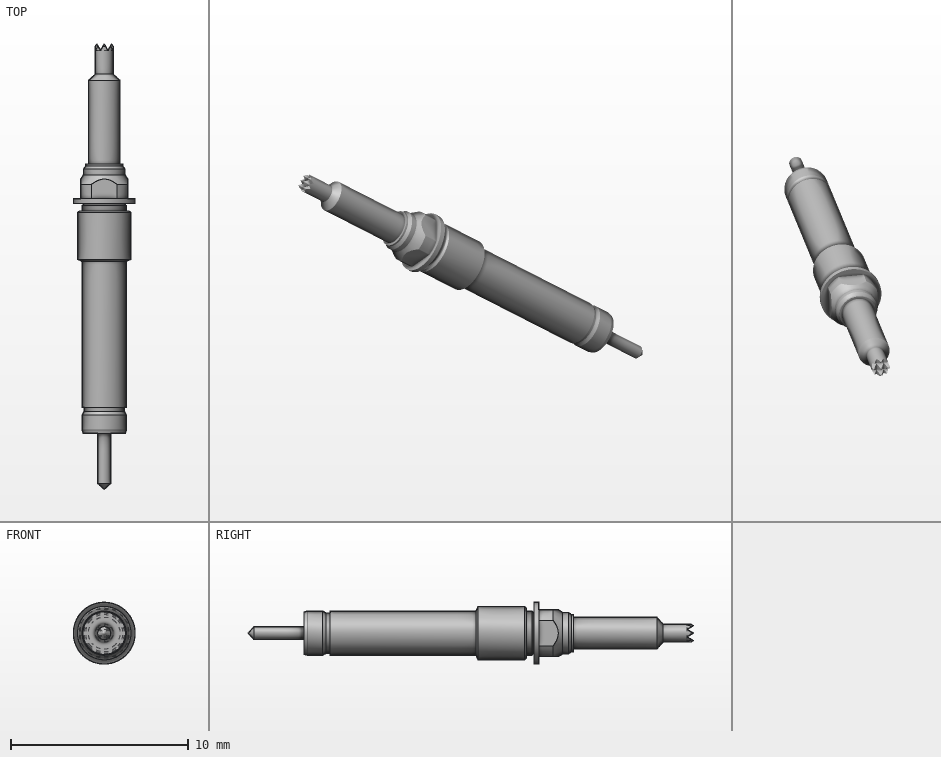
import cadquery as cq


NECK_DIA = 1.02
NECK_LENGTH = 1.71
SHAFT_DIA = 1.8
SHOULDER_LENGTH = 0.36
SHAFT_LENGTH = 4.7

TOOTH_PITCH = 0.42
TOOTH_DEPTH = 0.36
GROOVE_OFFSETS = (-1.5, -0.5, 0.5, 1.5)

LIP_DIA = 2.1
LIP_LENGTH = 0.12
LIP_CHAMFER_LENGTH = 0.18
NUT_TOP_DIA = 2.36
NUT_TOP_LENGTH = 0.32
NUT_CONE_LENGTH = 0.54
NUT_DIA = 3.03
NUT_ACROSS_FLATS = 2.66
NUT_LENGTH = 0.8
WASHER_DIA = 3.5
WASHER_THICKNESS = 0.28

TUBE_DIA = 2.5
TUBE_RIM_LENGTH = 0.42
TUBE_RIM_CHAMFER = 0.12
RING_DIA = 3.02
RING_LENGTH = 2.73
RING_CHAMFER = 0.1
RING_FOOT_LENGTH = 0.12
TUBE_LENGTH = 8.24
GROOVE_DIA = 2.28
GROOVE_FLOOR_LENGTH = 0.22
GROOVE_SLOPE_LENGTH = 0.2
END_LENGTH = 0.85
END_CHAMFER_LENGTH = 0.2
END_FACE_DIA = 2.4

OVERALL_LENGTH = 25.15
PIN_DIA = 0.74
PIN_POINT_LENGTH = 0.34

NUT_BOTTOM = WASHER_THICKNESS
NUT_CONE_BOTTOM = NUT_BOTTOM + NUT_LENGTH
NUT_CONE_TOP = NUT_CONE_BOTTOM + NUT_CONE_LENGTH
LIP_CHAMFER_BOTTOM = NUT_CONE_TOP + NUT_TOP_LENGTH
LIP_BOTTOM = LIP_CHAMFER_BOTTOM + LIP_CHAMFER_LENGTH
LIP_TOP = LIP_BOTTOM + LIP_LENGTH
SHOULDER_BOTTOM = LIP_TOP + SHAFT_LENGTH
SHOULDER_TOP = SHOULDER_BOTTOM + SHOULDER_LENGTH
CROWN_TOP = SHOULDER_TOP + NECK_LENGTH

RING_TOP = -TUBE_RIM_LENGTH
RING_BOTTOM = RING_TOP - RING_LENGTH
RING_FOOT = RING_BOTTOM - RING_FOOT_LENGTH
GROOVE_TOP = RING_FOOT - TUBE_LENGTH
GROOVE_SLOPE_TOP = GROOVE_TOP - GROOVE_FLOOR_LENGTH
GROOVE_BOTTOM = GROOVE_SLOPE_TOP - GROOVE_SLOPE_LENGTH
END_CHAMFER_TOP = GROOVE_BOTTOM - END_LENGTH
END_FACE = END_CHAMFER_TOP - END_CHAMFER_LENGTH
PIN_TIP = CROWN_TOP - OVERALL_LENGTH


def revolve_about_y(outline):
    """Solid of revolution about Y from (diameter, y) points; the axis closes it."""
    points = [(diameter / 2, y) for diameter, y in outline]
    first_y = outline[0][1]
    last_y = outline[-1][1]
    profile = cq.Workplane("XY").polyline([(0, first_y)] + points + [(0, last_y)]).close()
    return profile.revolve(360, (0, 0, 0), (0, 1, 0))


def make_plunger():
    """Shaft, shoulder and neck, sunk down to the washer, with the crown cut in."""
    plunger = revolve_about_y([
        (NECK_DIA, CROWN_TOP),
        (NECK_DIA, SHOULDER_TOP),
        (SHAFT_DIA, SHOULDER_BOTTOM),
        (SHAFT_DIA, 0),
    ])
    return cut_crown(plunger)


def cut_crown(plunger):
    """Cut crossing V-grooves along Z and along X, leaving a grid of pyramids."""
    groove_bottom = CROWN_TOP - TOOTH_DEPTH
    for offset in GROOVE_OFFSETS:
        centre = offset * TOOTH_PITCH
        along_z = (
            cq.Workplane("XY")
            .moveTo(centre - TOOTH_PITCH / 2, CROWN_TOP)
            .lineTo(centre, groove_bottom)
            .lineTo(centre + TOOTH_PITCH / 2, CROWN_TOP)
            .close()
            .extrude(NECK_DIA, both=True)
        )
        along_x = along_z.rotate((0, 0, 0), (0, 1, 0), 90)
        plunger = plunger.cut(along_z).cut(along_x)
    return plunger


def make_nut():
    """Stepped, tapered nut with flats facing +X, -X, +Z and -Z."""
    nut = revolve_about_y([
        (LIP_DIA, LIP_TOP),
        (LIP_DIA, LIP_BOTTOM),
        (NUT_TOP_DIA, LIP_CHAMFER_BOTTOM),
        (NUT_TOP_DIA, NUT_CONE_TOP),
        (NUT_DIA, NUT_CONE_BOTTOM),
        (NUT_DIA, NUT_BOTTOM),
    ])
    across_flats = (
        cq.Workplane("XZ", origin=(0, NUT_BOTTOM, 0))
        .rect(NUT_ACROSS_FLATS, NUT_ACROSS_FLATS)
        .extrude(NUT_BOTTOM - LIP_TOP)
    )
    return nut.intersect(across_flats)


def make_washer():
    return revolve_about_y([(WASHER_DIA, WASHER_THICKNESS), (WASHER_DIA, 0)])


def make_receptacle():
    """Tube with its chamfered rim, press ring, groove and chamfered end."""
    return revolve_about_y([
        (TUBE_DIA - 2 * TUBE_RIM_CHAMFER, 0),
        (TUBE_DIA, -TUBE_RIM_CHAMFER),
        (TUBE_DIA, RING_TOP),
        (RING_DIA - 2 * RING_CHAMFER, RING_TOP),
        (RING_DIA, RING_TOP - RING_CHAMFER),
        (RING_DIA, RING_BOTTOM),
        (TUBE_DIA, RING_FOOT),
        (TUBE_DIA, GROOVE_TOP),
        (GROOVE_DIA, GROOVE_TOP),
        (GROOVE_DIA, GROOVE_SLOPE_TOP),
        (TUBE_DIA, GROOVE_BOTTOM),
        (TUBE_DIA, END_CHAMFER_TOP),
        (END_FACE_DIA, END_FACE),
    ])


def make_pin():
    """Pointed contact pin."""
    return (
        cq.Workplane("XY")
        .moveTo(0, END_FACE)
        .lineTo(PIN_DIA / 2, END_FACE)
        .lineTo(PIN_DIA / 2, PIN_TIP + PIN_POINT_LENGTH)
        .lineTo(0, PIN_TIP)
        .close()
        .revolve(360, (0, 0, 0), (0, 1, 0))
    )


result = (
    make_plunger()
    .union(make_nut())
    .union(make_washer())
    .union(make_receptacle())
    .union(make_pin())
)